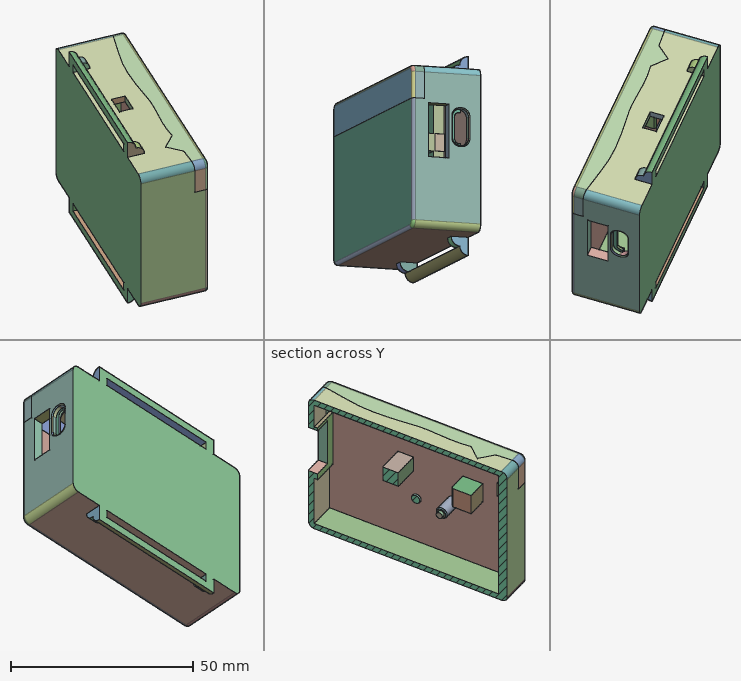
import cadquery as cq

LENGTH = 64.0
DEPTH = 20.0
HEIGHT = 45.4
CORNER_RADIUS = 2.0
BACK_EDGE_RADIUS = 0.9
WALL = 2.0

FRONT = -DEPTH / 2
BACK = DEPTH / 2
RIGHT = LENGTH / 2
LEFT = -RIGHT
TOP = HEIGHT / 2
INNER_LEFT = LEFT + WALL
INNER_RIGHT = RIGHT - WALL
INNER_FRONT = FRONT + WALL
INNER_BACK = BACK - WALL
INNER_TOP = TOP - WALL

TOTAL_HEIGHT = 55.5
LUG_RADIUS = 2.5
LUG_ROOT = TOTAL_HEIGHT / 2 - 2 * LUG_RADIUS
LUG_LENGTH = 44.0
STRAP_SLOT_LENGTH = 38.15

COVER_BOTTOM = 13.3
WAVE_LEFT = (LEFT, 6.45)
WAVE_CURVE = [(-22.9, 4.9), (-19.15, 4.3), (-11.5, 4.0), (-3.85, 4.55), (0.95, 5.0), (7.05, 4.8), (17.3, 5.0)]
NOTCH_TIP = (21.45, 1.4)
NOTCH_END = (24.95, 5.4)
WAVE_RIGHT = (RIGHT, 5.9)

SWITCH_Y = 2.25
SWITCH_Z = 4.7
SWITCH_WIDTH = 6.0
SWITCH_HEIGHT = 15.05

PORT_Y = -4.15
PORT_Z = 5.95
PORT_WIDTH = 4.7
PORT_HEIGHT = 10.25
PORT_CORNER_RADIUS = 2.2
PORT_CHAMFER = 0.3
FLARE_ANGLE = 45

PLATE_START_DEPTH = 1.5
PLUG_LIP_END_DEPTH = 2.2
PLATE_END_DEPTH = 3.0
PLATE_FRONT = -4.55
PLATE_BOTTOM = -5.0
PLUG_Y = -4.6
PLUG_WIDTH = 3.5
PLUG_CORNER_RADIUS = 1.4
PLUG_HEIGHT = 8.7

TOP_WINDOW_X = -0.95
TOP_WINDOW_Y = -2.55
TOP_WINDOW_LENGTH = 6.0
TOP_WINDOW_WIDTH = 4.0

PILLAR_RIGHT = -3.1
PILLAR_LENGTH = 5.0
PILLAR_BOTTOM = 3.5
PILLAR_TOP = 8.4
FOOT_STEP = 0.2
FOOT_BACK = -5.25

PAD_BACK = -4.9
LEDGE_BACK = 0.8
LEDGE_THICKNESS = 1.0
STANDOFF_DIAMETER = 2.8
STANDOFF_X = 2.5
STANDOFF_Z = 1.35
STANDOFF_BACK = 0.6

POST_DIAMETER = 3.5
POST_X = 9.6
POST_Z = -1.9
POST_FRONT = 1.8
POST_CHAMFER = 0.3
PIN_DIAMETER = 2.0

CLAMP_RIB_LEFT = 12.8
CLAMP_RIB_RIGHT = 19.2
CLAMP_RIB_FRONT = 1.85
CLAMP_RIB_CHAMFER = 0.5
CLAMP_RIB_BOTTOM = 2.0
STOP_RIB_LEFT = 25.6
STOP_RIB_FRONT = 5.05
STOP_RIB_BOTTOM = 8.7


def block(x_range, y_range, z_range):
    """Box between the given low and high limits on each axis."""
    ranges = (x_range, y_range, z_range)
    sizes = [high - low for low, high in ranges]
    corner = cq.Vector(*[low for low, high in ranges])
    return cq.Workplane(cq.Solid.makeBox(*sizes, corner))


def rod(diameter, x, z, y_front, y_back):
    """Cylinder along Y between two depths."""
    base = cq.Vector(x, y_front, z)
    return cq.Workplane(cq.Solid.makeCylinder(diameter / 2, y_back - y_front, base, cq.Vector(0, 1, 0)))


def left_plane(y, z):
    """Plane on the left face, drawn in Y and Z, with its normal pointing into the box."""
    return cq.Workplane("YZ", origin=(LEFT, y, z))


def rounded_opening(y, width, height, corner_radius, depth, taper=0):
    """Rounded rectangle at the port height, running into the box from its left face."""
    outline = cq.Sketch().rect(width, height).vertices().fillet(corner_radius)
    return left_plane(y, PORT_Z).placeSketch(outline).extrude(depth, taper=taper)


def port_hole(depth):
    return rounded_opening(PORT_Y, PORT_WIDTH, PORT_HEIGHT, PORT_CORNER_RADIUS, depth)


def outer_box():
    box = cq.Workplane("XY").box(LENGTH, DEPTH, HEIGHT)
    return box.edges("|Y").fillet(CORNER_RADIUS).faces(">Y").edges().fillet(BACK_EDGE_RADIUS)


def cavity():
    return block((INNER_LEFT, INNER_RIGHT), (INNER_FRONT, INNER_BACK), (-INNER_TOP, INNER_TOP))


def cover_region():
    """Space taken by the back cover: behind the wavy line and above its lower edge."""
    outline = (
        cq.Workplane("XY", origin=(0, 0, COVER_BOTTOM))
        .moveTo(*WAVE_LEFT)
        .spline(WAVE_CURVE, includeCurrent=True)
        .lineTo(*NOTCH_TIP)
        .lineTo(*NOTCH_END)
        .lineTo(*WAVE_RIGHT)
        .lineTo(RIGHT, BACK)
        .lineTo(LEFT, BACK)
        .close()
    )
    return outline.extrude(TOP - COVER_BOTTOM)


def top_lug():
    """Strap lug: two stepped quarter rounds, with a strap slot beside the box."""
    r = LUG_RADIUS
    diagonal = r * 0.5 ** 0.5
    lug = (
        cq.Workplane("YZ", origin=(-LUG_LENGTH / 2, 0, 0))
        .moveTo(FRONT, TOP)
        .lineTo(FRONT, LUG_ROOT + 2 * r)
        .threePointArc((FRONT + diagonal, LUG_ROOT + r + diagonal), (FRONT + r, LUG_ROOT + r))
        .threePointArc((FRONT + r + diagonal, LUG_ROOT + diagonal), (FRONT + 2 * r, LUG_ROOT))
        .lineTo(FRONT + 2 * r, TOP)
        .close()
        .extrude(LUG_LENGTH)
    )
    half_slot = STRAP_SLOT_LENGTH / 2
    return lug.cut(block((-half_slot, half_slot), (FRONT, BACK), (TOP, LUG_ROOT + r)))


def inner_plate():
    """Plate with a plug opening that widens behind its outer lip."""
    plate = block(
        (LEFT + PLATE_START_DEPTH, LEFT + PLATE_END_DEPTH),
        (PLATE_FRONT, INNER_BACK),
        (PLATE_BOTTOM, COVER_BOTTOM),
    )
    plug_opening = rounded_opening(PLUG_Y, PLUG_WIDTH, PLUG_HEIGHT, PLUG_CORNER_RADIUS, PLATE_END_DEPTH)
    connector_space = port_hole(PLATE_END_DEPTH).intersect(
        block((LEFT + PLUG_LIP_END_DEPTH, 0), (FRONT, BACK), (-TOP, TOP))
    )
    return plate.cut(plug_opening).cut(connector_space)


def pillar():
    left = PILLAR_RIGHT - PILLAR_LENGTH
    z_range = (PILLAR_BOTTOM, PILLAR_TOP)
    column = block((left, PILLAR_RIGHT), (INNER_FRONT, INNER_BACK), z_range)
    return column.union(block((left - FOOT_STEP, PILLAR_RIGHT), (INNER_FRONT, FOOT_BACK), z_range))


def board_support():
    pad_left = PILLAR_RIGHT - PILLAR_LENGTH
    pad = block((pad_left, INNER_RIGHT), (INNER_FRONT, PAD_BACK), (-INNER_TOP, INNER_TOP))
    ledge = block(
        (INNER_RIGHT - LEDGE_THICKNESS, INNER_RIGHT), (PAD_BACK, LEDGE_BACK), (-INNER_TOP, INNER_TOP)
    )
    standoff = rod(STANDOFF_DIAMETER, STANDOFF_X, STANDOFF_Z, PAD_BACK, STANDOFF_BACK)
    return pad.union(ledge).union(standoff)


def back_wall_details():
    post = rod(POST_DIAMETER, POST_X, POST_Z, POST_FRONT, INNER_BACK).faces("<Y").chamfer(POST_CHAMFER)
    pin = rod(PIN_DIAMETER, POST_X, POST_Z, LEDGE_BACK, POST_FRONT)
    clamp_rib = block(
        (CLAMP_RIB_LEFT, CLAMP_RIB_RIGHT), (CLAMP_RIB_FRONT, INNER_BACK), (CLAMP_RIB_BOTTOM, PILLAR_TOP)
    )
    clamp_rib = clamp_rib.faces("<Y").edges("<X").chamfer(CLAMP_RIB_CHAMFER)
    stop_rib = block(
        (STOP_RIB_LEFT, INNER_RIGHT), (STOP_RIB_FRONT, INNER_BACK), (STOP_RIB_BOTTOM, COVER_BOTTOM)
    )
    return post.union(pin).union(clamp_rib).union(stop_rib)


def switch_window():
    return left_plane(SWITCH_Y, SWITCH_Z).rect(SWITCH_WIDTH, SWITCH_HEIGHT).extrude(PLATE_END_DEPTH)


def port_opening():
    """Rounded opening through the left wall, flared at its outer edge."""
    mouth = rounded_opening(
        PORT_Y,
        PORT_WIDTH + 2 * PORT_CHAMFER,
        PORT_HEIGHT + 2 * PORT_CHAMFER,
        PORT_CORNER_RADIUS + PORT_CHAMFER,
        PORT_CHAMFER,
        FLARE_ANGLE,
    )
    return port_hole(WALL).union(mouth)


def top_window():
    plane = cq.Workplane("XY", origin=(TOP_WINDOW_X, TOP_WINDOW_Y, INNER_TOP))
    return plane.rect(TOP_WINDOW_LENGTH, TOP_WINDOW_WIDTH).extrude(WALL)


shell = outer_box().cut(cavity())

back_cover = shell.intersect(cover_region())

housing = shell.cut(cover_region()).cut(port_opening())
lug = top_lug()
for part in (lug, lug.mirror("XY"), inner_plate(), pillar(), board_support(), back_wall_details()):
    housing = housing.union(part)
for opening in (switch_window(), top_window()):
    housing = housing.cut(opening)

result = cq.Compound.makeCompound([housing.solids().val(), back_cover.solids().val()])